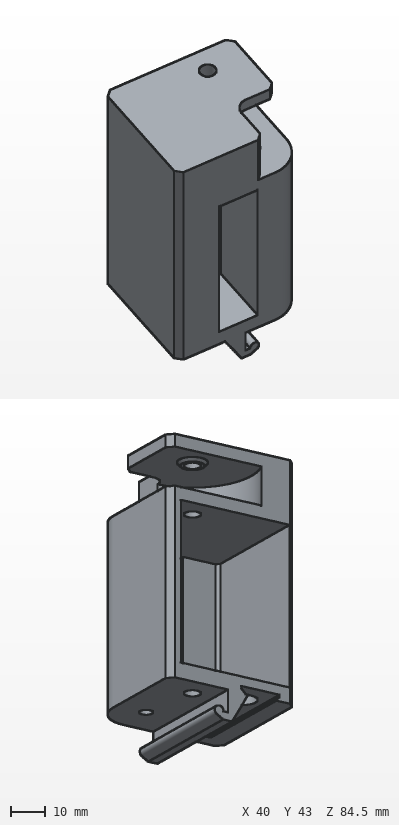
import cadquery as cq
import math

width = 40.0
depth = 43.0
height = 84.5
plate = 4.0
thin_wall = 2.0
edge_chamfer = 1.95
inner_chamfer = 1.0
floor = 5.0
chamber_height = 50.0
gap = 12.0
corner_radius = 10.0

shelf_bottom = floor + chamber_height
shelf_top = shelf_bottom + plate
plate_bottom = shelf_top + gap
housing_top = plate_bottom + plate
hook_drop = height - housing_top

pivot_x = 8.0
pivot_y = 30.0
pivot_hole_diameter = 5.0
slot_radius = 20.0
boss_base_radius = 4.5
boss_height = 1.0

corner_hole_x = width - 12.0
corner_hole_y = depth - corner_radius
corner_hole_diameter = 4.0
notch_radius = plate
notch_x = corner_hole_x - notch_radius
notch_y = corner_hole_y - notch_radius

column_x = 19.0
window_low_y = 14.0
window_high_y = 27.0

groove_depth = 2.0
groove_low_y = 5.4
groove_high_y = 18.5
groove_lip = 1.2
groove_straight = 0.7
groove_lip_height = 0.3
groove_end_wall = 5.0
ledge_drop = 0.2
hook_root_y = 16.05
hook_inner_y = 23.0
hook_angle = math.radians(30)
lip_radius = 1.5
lip_y = 26.0
lip_z = -7.0

access_x = 8.95
access_y = (groove_low_y + groove_high_y) / 2
access_diameter = 8.0


def upright(x, y, diameter, bottom, top):
    """Vertical cylinder between two levels."""
    cylinder = cq.Workplane("XY").workplane(offset=bottom).center(x, y)
    return cylinder.circle(diameter / 2).extrude(top - bottom)


def side_sketch(start):
    """Sketch in the YZ plane, started at a point."""
    return cq.Workplane("YZ").moveTo(*start)


def housing_block():
    """Outer block with three chamfered corners and one rounded corner."""
    block = cq.Workplane("XY").box(width, depth, housing_top, centered=False)
    block = block.edges("|Z and (<X or <Y)").chamfer(edge_chamfer)
    return block.edges("|Z and >X and >Y").fillet(corner_radius)


def corner_notch():
    """Space above the shelf at the +X +Y corner, flaring out at both ends."""
    return (
        cq.Workplane("XY").workplane(offset=shelf_top)
        .moveTo(notch_x - edge_chamfer, depth)
        .lineTo(notch_x, depth - edge_chamfer)
        .lineTo(notch_x, corner_hole_y)
        .radiusArc((corner_hole_x, notch_y), -notch_radius)
        .lineTo(width - edge_chamfer, notch_y)
        .lineTo(width, notch_y - edge_chamfer)
        .lineTo(width, depth)
        .close()
        .extrude(housing_top - shelf_top)
    )


def pivot_boss(level, direction):
    """Tapered boss rising from a level, up (1) or down (-1)."""
    axis = cq.Vector(0, 0, direction)
    cone = cq.Solid.makeCone(
        boss_base_radius, boss_base_radius - boss_height, boss_height,
        cq.Vector(pivot_x, pivot_y, level), axis,
    )
    return cq.Workplane(cone)


def chamber():
    """Room open at -X, wrapping around the column of the corner hole."""
    back_x = width - thin_wall
    back_y = depth - plate
    c = inner_chamfer
    outline = [
        (0, thin_wall),
        (back_x - c, thin_wall),
        (back_x, thin_wall + c),
        (back_x, window_high_y),
        (column_x + c, window_high_y),
        (column_x, window_high_y + c),
        (column_x, back_y - c),
        (column_x - c, back_y),
        (0, back_y),
    ]
    return cq.Workplane("XY").workplane(offset=floor).polyline(outline).close().extrude(chamber_height)


def window():
    """Opening through the +X wall, as tall as the chamber."""
    start_x = width - 2 * thin_wall
    opening = cq.Workplane("XY").box(
        width - start_x, window_high_y - window_low_y, chamber_height, centered=False
    )
    return opening.translate((start_x, window_low_y, floor))


def hook():
    """Hook with a sloping back and a round lip, across the full width."""
    toe_y = hook_root_y + hook_drop * math.tan(hook_angle)
    tangent_y = lip_y + lip_radius * math.sin(hook_angle)
    tangent_z = lip_z - lip_radius * math.cos(hook_angle)
    heel_y = tangent_y - (tangent_z + hook_drop) / math.tan(hook_angle)
    return (
        side_sketch((hook_root_y, 0))
        .lineTo(toe_y, -hook_drop)
        .lineTo(heel_y, -hook_drop)
        .lineTo(tangent_y, tangent_z)
        .threePointArc((lip_y, lip_z + lip_radius), (lip_y - lip_radius, lip_z))
        .lineTo(hook_inner_y, lip_z)
        .lineTo(hook_inner_y, 0)
        .close()
        .extrude(width)
    )


def rail_groove():
    """Undercut groove open at -X; its +Y flank runs down at 45 degrees."""
    flank_top = groove_depth - groove_straight
    mouth_y = groove_low_y + groove_lip
    flank_foot_y = groove_high_y - flank_top - ledge_drop
    return (
        side_sketch((groove_low_y, groove_depth))
        .lineTo(groove_high_y, groove_depth)
        .lineTo(groove_high_y, flank_top)
        .lineTo(flank_foot_y, -ledge_drop)
        .lineTo(mouth_y, -ledge_drop)
        .lineTo(mouth_y, groove_lip_height)
        .lineTo(groove_low_y, flank_top)
        .close()
        .extrude(width - groove_end_wall)
    )


result = housing_block().union(hook())
result = result.cut(corner_notch())
result = result.cut(upright(pivot_x, pivot_y, 2 * slot_radius, shelf_top, plate_bottom))
result = result.union(pivot_boss(shelf_top, 1)).union(pivot_boss(plate_bottom, -1))
result = result.cut(chamber()).cut(window()).cut(rail_groove())
result = result.cut(upright(pivot_x, pivot_y, pivot_hole_diameter, 0, housing_top))
result = result.cut(upright(corner_hole_x, corner_hole_y, corner_hole_diameter, 0, housing_top))
result = result.cut(upright(access_x, access_y, access_diameter, 0, floor))